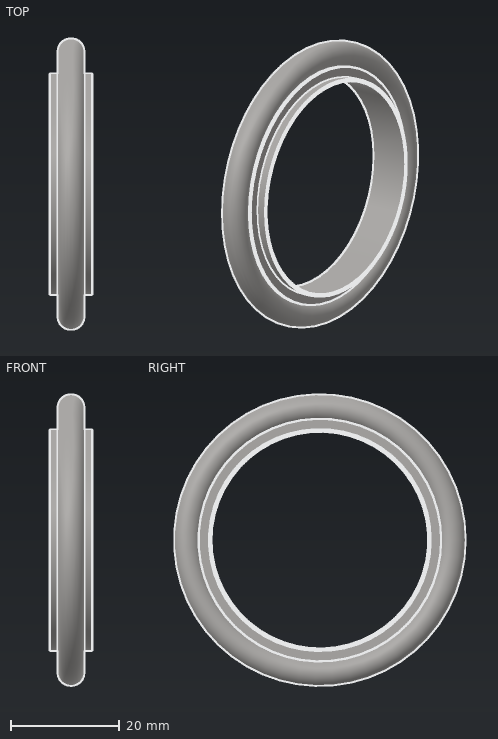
import cadquery as cq

outer_diameter = 54.0
seal_section_diameter = 5.0
sleeve_width = 8.0
bore_diameter = 40.0
sleeve_diameter = 41.1
flange_diameter = 45.0
flange_width = 4.0
sleeve_end_chamfer = 0.2
flange_chamfer = 0.1

seal_section_radius = seal_section_diameter / 2
seal_centre_radius = outer_diameter / 2 - seal_section_radius


def make_seal():
    """Round-section ring that sits around the carrier."""
    return (
        cq.Workplane("XY")
        .center(0, seal_centre_radius)
        .circle(seal_section_radius)
        .revolve(360, (0, -seal_centre_radius), (1, -seal_centre_radius))
    )


def make_disc(diameter, width):
    """Disc along X, centred on X = 0."""
    return cq.Workplane("YZ", origin=(-width / 2, 0, 0)).circle(diameter / 2).extrude(width)


def make_carrier(seal):
    """Thin sleeve with a central flange whose rim is grooved to seat the seal."""
    sleeve = make_disc(sleeve_diameter, sleeve_width)
    flange = make_disc(flange_diameter, flange_width).edges().chamfer(flange_chamfer)
    bored = sleeve.union(flange).faces(">X").workplane().hole(bore_diameter)
    chamfered = bored.faces("<X or >X").edges().chamfer(sleeve_end_chamfer)
    return chamfered.cut(seal).solids()


seal = make_seal()
carrier = make_carrier(seal)

result = cq.Compound.makeCompound([carrier.val(), seal.val()])